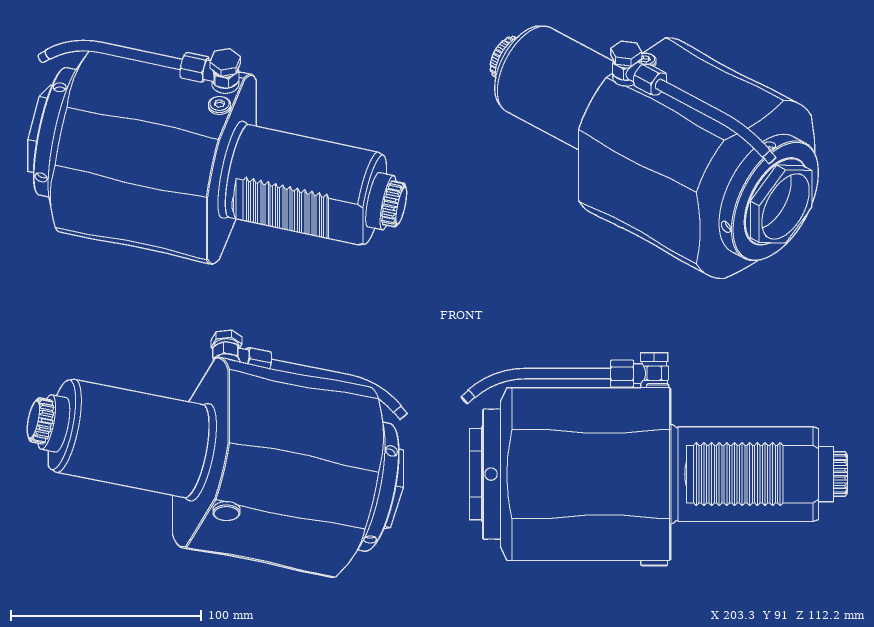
import cadquery as cq
import math


housing_width = 91.0
housing_diameter = 102.3
housing_radius = housing_diameter / 2
waist_radius = 50.2
waist_front_x = -64.9
waist_rear_x = -4.9
housing_front_x = -89.7
cone_rear_x = -83.6
cone_front_radius = 38.2
cone_blend_radius = 4.0
housing_rear_chamfer = 0.6

nut_front_x = -99.0
nut_radius = 34.4
nut_chamfer = 0.6
wrench_hole_x = -94.5
wrench_hole_radius = 3.3
wrench_hole_depth = 3.3
wrench_hole_tip = 1.8
collar_radius = 25.0
collar_height = 0.6
collar_chamfer = 0.5

nose_front_x = -106.0
nose_flats = 41.7
nose_bore_radius = 18.7
nose_bore_depth = 10.0
nose_floor_radius = 18.3
nose_floor_depth = 12.5

pilot_radius = 26.0
pilot_length = 0.6
neck_radius = 24.5
neck_end_x = 3.7
shank_radius = 25.0
shank_end_x = 77.7
shank_chamfer_length = 2.8
shank_chamfer_height = 1.0
flat_start_x = 8.1
flat_distance = 20.0
flat_edge_chamfer = 0.8

groove_count = 12
groove_first_x = 13.5
groove_last_x = 57.5
groove_pitch = (groove_last_x - groove_first_x) / (groove_count - 1)
groove_width = 2.8
groove_depth = 1.2

drive_boss_radius = 14.6
drive_boss_end_x = 85.6
spline_end_x = 93.0
spline_diameter = 23.8
spline_radius = spline_diameter / 2
spline_root_radius = 10.0
spline_chamfer = 1.2
spline_count = 16
spline_slot_outer_width = 3.3
spline_slot_root_width = 1.6

fitting_x = -8.7
fitting_y = 16.9
fitting_base_radius = 7.1
fitting_neck_radius = 6.5
fitting_hex_flats = 13.2
fitting_hex_bottom_z = 49.2
fitting_hex_top_z = 57.0
cap_flats = 14.5
cap_bottom_z = 59.2
cap_top_z = 63.9
tube_z = 52.9
stub_radius = 5.3
union_front_x = -31.7
union_rear_x = -19.5
union_flats = 12.5
turned_chamfer = 0.6
tube_radius = 2.8
tube_bend_start_x = -76.5
tube_bend_radius = 42.1
tube_bend_angle = 42.5
tube_bend_tilt = 14.0
tube_tip_length = 5.0
tube_tip_diameter = 5.0
tube_mouth_radius = 1.6
tube_mouth_depth = 3.0

screw_x = -7.0
screw_radius = 6.0
screw_height = 2.2
screw_chamfer = 0.8
socket_flats = 4.9
socket_depth = 1.8
bottom_plug_radius = 7.1
bottom_plug_height = 2.8
bottom_plug_chamfer = 0.6

half_width = housing_width / 2


def cylinder_x(radius, start_x, end_x):
    """Cylinder on the spindle axis between two X positions."""
    return cq.Workplane("YZ").workplane(offset=start_x).circle(radius).extrude(end_x - start_x)


def cylinder_z(radius, x, y, bottom_z, top_z):
    """Upright cylinder between two heights."""
    return cq.Workplane("XY", origin=(x, y, bottom_z)).circle(radius).extrude(top_z - bottom_z)


def hexagon(workplane, flats, length, turn):
    """Hexagonal prism by its width across flats, turned about its own axis."""
    corner_diameter = flats / math.cos(math.radians(30))
    return workplane.transformed(rotate=(0, 0, turn)).polygon(6, corner_diameter).extrude(length)


def turned_hexagon(workplane, flats, length, turn):
    """Hexagonal prism with the corners of both ends chamfered by turning."""
    corner_radius = flats / 2 / math.cos(math.radians(30))
    blank = workplane.circle(corner_radius).extrude(length).edges().chamfer(turned_chamfer)
    return hexagon(workplane, flats, length, turn).intersect(blank)


def make_housing():
    """Waisted round body with a front cone, trimmed to a square section."""
    waist_middle_x = (waist_front_x + waist_rear_x) / 2
    body = (
        cq.Workplane("XY")
        .moveTo(housing_front_x, 0)
        .lineTo(housing_front_x, cone_front_radius)
        .lineTo(cone_rear_x, housing_radius)
        .lineTo(waist_front_x, housing_radius)
        .threePointArc((waist_middle_x, waist_radius), (waist_rear_x, housing_radius))
        .lineTo(0, housing_radius)
        .lineTo(0, 0)
        .close()
        .revolve(360, (0, 0, 0), (1, 0, 0))
        .faces("<X").edges().fillet(cone_blend_radius)
    )
    square = (
        cq.Workplane("YZ")
        .workplane(offset=housing_front_x)
        .rect(housing_width, housing_width)
        .extrude(-housing_front_x)
    )
    return body.intersect(square).faces(">X").edges().chamfer(housing_rear_chamfer)


def make_nut():
    """Round clamping nut with a raised collar and four radial wrench holes."""
    nut = cylinder_x(nut_radius, nut_front_x, housing_front_x).faces("<X").edges().chamfer(nut_chamfer)
    collar = cylinder_x(collar_radius, nut_front_x - collar_height, nut_front_x)
    nut = nut.union(collar.faces("<X").edges().chamfer(collar_chamfer))
    tip_z = nut_radius - wrench_hole_depth - wrench_hole_tip
    hole = (
        cq.Workplane("XZ")
        .moveTo(0, tip_z)
        .lineTo(wrench_hole_radius, tip_z + wrench_hole_tip)
        .lineTo(wrench_hole_radius, nut_radius)
        .lineTo(0, nut_radius)
        .close()
        .revolve(360, (0, 0, 0), (0, 1, 0))
        .translate((wrench_hole_x, 0, 0))
    )
    for quarter in range(4):
        nut = nut.cut(hole.rotate((0, 0, 0), (1, 0, 0), 90 * quarter))
    return nut


def make_nose():
    """Hexagonal nose with corners pointing up and down."""
    front = cq.Workplane("YZ").workplane(offset=nose_front_x)
    return hexagon(front, nose_flats, nut_front_x - nose_front_x, 90)


def make_nose_bore():
    """Blind bore that narrows slightly just before its flat floor."""
    return (
        cq.Workplane("XY", origin=(nose_front_x, 0, 0))
        .lineTo(0, nose_bore_radius)
        .lineTo(nose_bore_depth, nose_bore_radius)
        .lineTo(nose_floor_depth, nose_floor_radius)
        .lineTo(nose_floor_depth, 0)
        .close()
        .revolve(360, (0, 0, 0), (1, 0, 0))
    )


def make_shank():
    """Pilot blending into a neck, then a round shank with a grooved flat on the -Y side."""
    blend_middle = ((pilot_length + neck_end_x) / 2, (pilot_radius + neck_radius) / 2)
    shank = (
        cq.Workplane("XY")
        .moveTo(0, 0)
        .lineTo(0, pilot_radius)
        .lineTo(pilot_length, pilot_radius)
        .tangentArcPoint(blend_middle, relative=False)
        .tangentArcPoint((neck_end_x, neck_radius), relative=False)
        .lineTo(neck_end_x, shank_radius)
        .lineTo(shank_end_x - shank_chamfer_length, shank_radius)
        .lineTo(shank_end_x, shank_radius - shank_chamfer_height)
        .lineTo(shank_end_x, 0)
        .close()
        .revolve(360, (0, 0, 0), (1, 0, 0))
    )
    flat_cut = (
        cq.Workplane("XY")
        .moveTo(flat_start_x, -flat_distance)
        .lineTo(flat_start_x, -shank_radius + flat_edge_chamfer)
        .lineTo(flat_start_x - flat_edge_chamfer, -shank_radius)
        .lineTo(shank_end_x, -shank_radius)
        .lineTo(shank_end_x, -flat_distance)
        .close()
        .extrude(shank_radius, both=True)
    )
    shank = shank.cut(flat_cut)
    for index in range(groove_count):
        x = groove_first_x + index * groove_pitch
        groove = (
            cq.Workplane("XY")
            .moveTo(x - groove_width / 2, -flat_distance)
            .lineTo(x, -flat_distance + groove_depth)
            .lineTo(x + groove_width / 2, -flat_distance)
            .close()
            .extrude(shank_radius, both=True)
        )
        shank = shank.cut(groove)
    return shank


def make_drive_end():
    """Round boss followed by a chamfered splined stub."""
    boss = cylinder_x(drive_boss_radius, shank_end_x, drive_boss_end_x)
    spline = cylinder_x(spline_radius, drive_boss_end_x, spline_end_x)
    root_drop = spline_radius - spline_root_radius
    spline = spline.faces(">X").edges().chamfer(spline_chamfer, root_drop)
    spline_length = spline_end_x - drive_boss_end_x
    slot = (
        cq.Workplane("YZ")
        .workplane(offset=drive_boss_end_x)
        .moveTo(spline_root_radius, -spline_slot_root_width / 2)
        .lineTo(spline_radius, -spline_slot_outer_width / 2)
        .lineTo(spline_radius, spline_slot_outer_width / 2)
        .lineTo(spline_root_radius, spline_slot_root_width / 2)
        .close()
        .extrude(spline_length)
    )
    for index in range(spline_count):
        spline = spline.cut(slot.rotate((0, 0, 0), (1, 0, 0), 360 / spline_count * index))
    return boss.union(spline)


def make_fitting():
    """Banjo fitting with a hexagonal cap, a side stub and a union nut."""
    fitting = cylinder_z(fitting_base_radius, fitting_x, fitting_y, half_width, fitting_hex_bottom_z)
    middle_plane = cq.Workplane("XY", origin=(fitting_x, fitting_y, fitting_hex_bottom_z))
    middle_length = fitting_hex_top_z - fitting_hex_bottom_z
    middle = turned_hexagon(middle_plane, fitting_hex_flats, middle_length, 0)
    neck = cylinder_z(fitting_neck_radius, fitting_x, fitting_y, fitting_hex_top_z, cap_bottom_z)
    cap_plane = cq.Workplane("XY", origin=(fitting_x, fitting_y, cap_bottom_z))
    cap = hexagon(cap_plane, cap_flats, cap_top_z - cap_bottom_z, 90)

    stub_plane = cq.Workplane("YZ", origin=(union_rear_x, fitting_y, tube_z))
    stub = stub_plane.circle(stub_radius).extrude(fitting_x - union_rear_x)

    union_length = union_rear_x - union_front_x
    union_plane = cq.Workplane("YZ", origin=(union_front_x, fitting_y, tube_z))
    union_nut = turned_hexagon(union_plane, union_flats, union_length, 90)

    for piece in (middle, neck, cap, stub, union_nut):
        fitting = fitting.union(piece)
    return fitting


def make_tube():
    """Straight tube, bent down at its front end, with a thinner hollow tip."""
    bend = math.radians(tube_bend_angle)
    half_bend = bend / 2
    bend_middle = (
        tube_bend_start_x - tube_bend_radius * math.sin(half_bend),
        -tube_bend_radius * (1 - math.cos(half_bend)),
    )
    bend_end = (
        tube_bend_start_x - tube_bend_radius * math.sin(bend),
        -tube_bend_radius * (1 - math.cos(bend)),
    )
    path = (
        cq.Workplane("XZ")
        .moveTo(union_front_x, 0)
        .lineTo(tube_bend_start_x, 0)
        .threePointArc(bend_middle, bend_end)
    )
    tube = cq.Workplane("YZ", origin=(union_front_x, 0, 0)).circle(tube_radius).sweep(path)

    tip_direction = cq.Vector(-math.cos(bend), 0, -math.sin(bend))
    tip_base = cq.Vector(bend_end[0], 0, bend_end[1])
    mouth_base = tip_base + tip_direction * (tube_tip_length - tube_mouth_depth)
    tip = cq.Solid.makeCylinder(tube_tip_diameter / 2, tube_tip_length, tip_base, tip_direction)
    mouth = cq.Solid.makeCylinder(tube_mouth_radius, tube_mouth_depth, mouth_base, tip_direction)

    tube = tube.union(cq.Workplane(tip)).cut(cq.Workplane(mouth))
    return tube.rotate((0, 0, 0), (1, 0, 0), -tube_bend_tilt).translate((0, fitting_y, tube_z))


def make_top_screw():
    """Low plug screw with a hexagonal socket."""
    top_z = half_width + screw_height
    screw = cylinder_z(screw_radius, screw_x, 0, half_width, top_z)
    screw = screw.faces(">Z").edges().chamfer(screw_chamfer)
    socket_plane = cq.Workplane("XY", origin=(screw_x, 0, top_z - socket_depth))
    return screw.cut(hexagon(socket_plane, socket_flats, socket_depth, 90))


def make_bottom_plug():
    """Plain round plug under the housing, in line with the fitting."""
    bottom_z = -half_width - bottom_plug_height
    plug = cylinder_z(bottom_plug_radius, fitting_x, fitting_y, bottom_z, -half_width)
    return plug.faces("<Z").edges().chamfer(bottom_plug_chamfer)


result = make_housing()
for part in (
    make_nut(),
    make_nose(),
    make_shank(),
    make_drive_end(),
    make_fitting(),
    make_tube(),
    make_top_screw(),
    make_bottom_plug(),
):
    result = result.union(part)
result = result.cut(make_nose_bore())